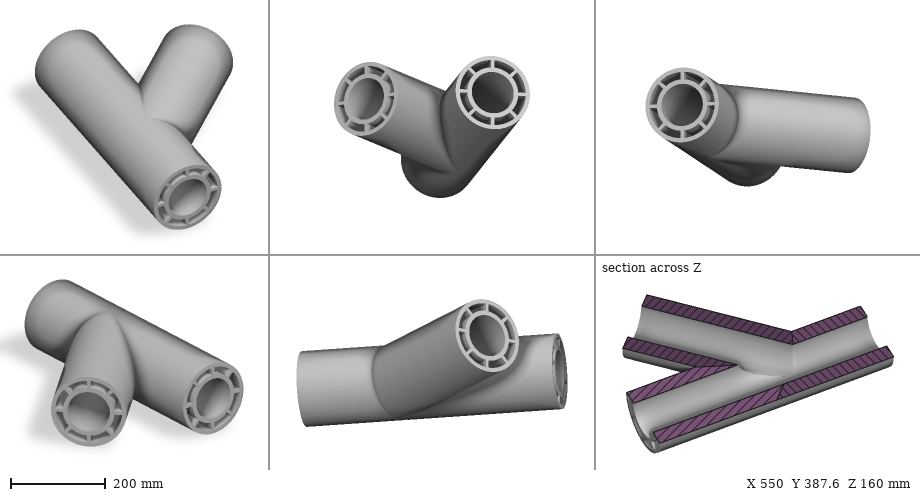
import cadquery as cq
import math

run_length = 550.0
outer_diameter = 160.0
outer_tube_bore = 142.0
inner_tube_diameter = 110.0
bore_diameter = 90.0
rib_width = 7.0
rib_count = 8
branch_angle = 135.0

outer_radius = outer_diameter / 2
junction_x = outer_radius
inlet_length = run_length / 2 + outer_radius
outlet_length = run_length / 2 - outer_radius
branch_length = inlet_length

inlet_angle = 180.0
outlet_angle = 0.0
outlet_branch_joint = (outlet_angle + branch_angle) / 2
branch_inlet_joint = (branch_angle + inlet_angle) / 2
inlet_outlet_joint = inlet_angle + 45


def ribbed_pipe(length):
    """Two concentric tubes joined by ribs, along +X, starting one radius behind the origin."""
    start = cq.Workplane("YZ", origin=(-outer_radius, 0, 0))
    full_length = length + outer_radius

    def tube(outside, inside):
        return start.circle(outside / 2).circle(inside / 2).extrude(full_length)

    annulus = tube(outer_tube_bore, inner_tube_diameter)
    bars = start.rect(outer_tube_bore, rib_width).extrude(full_length)
    bar_count = rib_count // 2
    ribs = annulus.intersect(bars)
    for i in range(1, bar_count):
        turned_bar = bars.rotate((0, 0, 0), (1, 0, 0), i * 180 / bar_count)
        ribs = ribs.union(annulus.intersect(turned_bar))

    outer_tube = tube(outer_diameter, outer_tube_bore)
    inner_tube = tube(inner_tube_diameter, bore_diameter)
    return outer_tube.union(ribs).union(inner_tube)


def sector(start_angle, end_angle):
    """Pie-shaped block around the origin, between two joint planes and taller than the pipe."""
    reach = run_length

    def rim(angle):
        turn = math.radians(angle)
        return (reach * math.cos(turn), reach * math.sin(turn))

    middle_angle = (start_angle + end_angle) / 2
    outline = (
        cq.Workplane("XY")
        .lineTo(*rim(start_angle))
        .threePointArc(rim(middle_angle), rim(end_angle))
        .close()
    )
    return outline.extrude(outer_diameter, both=True)


def mitred_arm(length, axis_angle, start_angle, end_angle):
    """Ribbed pipe pointing along axis_angle, trimmed by the two joint planes beside it."""
    pipe = ribbed_pipe(length).rotate((0, 0, 0), (0, 0, 1), axis_angle)
    return pipe.intersect(sector(start_angle, end_angle)).translate((junction_x, 0, 0))


inlet = mitred_arm(inlet_length, inlet_angle, branch_inlet_joint, inlet_outlet_joint)

outlet = mitred_arm(outlet_length, outlet_angle, inlet_outlet_joint - 360, outlet_branch_joint)

branch = mitred_arm(branch_length, branch_angle, outlet_branch_joint, branch_inlet_joint)

result = cq.Compound.makeCompound([inlet.solids().val(), outlet.solids().val(), branch.solids().val()])